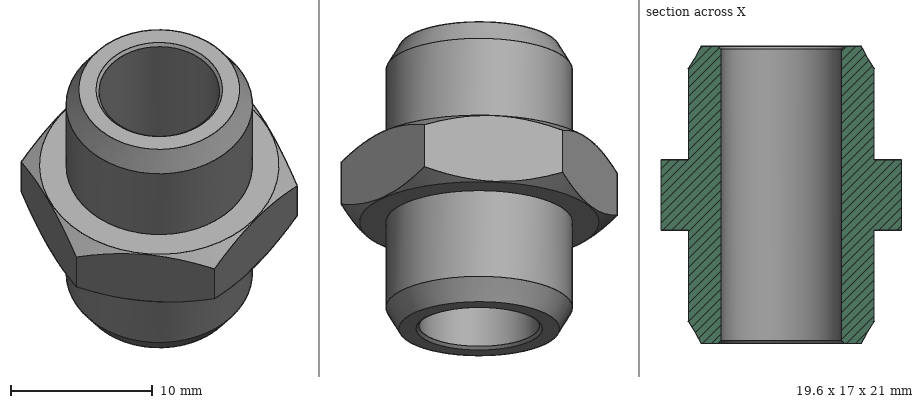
import cadquery as cq
import math

total_length = 21.0
hex_height = 5.0
hex_across_flats = 17.0
hex_face_diameter = 16.9
hex_corner_drop = 0.92
body_diameter = 13.17
end_chamfer_length = 1.58
end_chamfer_angle = 30.0
bore_diameter = 8.5
bore_chamfer = 0.2

half_length = total_length / 2
half_hex = hex_height / 2
body_radius = body_diameter / 2
hex_corner_radius = hex_across_flats / 2 / math.cos(math.radians(30))
bore_radius = bore_diameter / 2


def revolve_profile(points):
    """Revolve a closed (radius, height) outline about the Z axis."""
    return cq.Workplane("XZ").polyline(points).close().revolve(360, (0, 0), (0, 1))


def make_body():
    """Cylindrical body with a steep lead-in cone at both ends."""
    end_radius = body_radius - end_chamfer_length * math.tan(math.radians(end_chamfer_angle))
    shoulder = half_length - end_chamfer_length
    return revolve_profile([
        (0, -half_length),
        (end_radius, -half_length),
        (body_radius, -shoulder),
        (body_radius, shoulder),
        (end_radius, half_length),
        (0, half_length),
    ])


def make_hex():
    """Hexagonal collar with corners on the X axis, turned conically on both faces."""
    prism = (
        cq.Workplane("XY")
        .workplane(offset=-half_hex)
        .polygon(6, 2 * hex_corner_radius)
        .extrude(hex_height)
    )
    face_radius = hex_face_diameter / 2
    corner_height = half_hex - hex_corner_drop
    turned_envelope = revolve_profile([
        (0, -half_hex),
        (face_radius, -half_hex),
        (hex_corner_radius, -corner_height),
        (hex_corner_radius, corner_height),
        (face_radius, half_hex),
        (0, half_hex),
    ])
    return prism.intersect(turned_envelope)


def make_bore():
    """Through bore with a small chamfer at both mouths."""
    mouth_radius = bore_radius + bore_chamfer
    chamfer_start = half_length - bore_chamfer
    return revolve_profile([
        (0, -half_length),
        (mouth_radius, -half_length),
        (bore_radius, -chamfer_start),
        (bore_radius, chamfer_start),
        (mouth_radius, half_length),
        (0, half_length),
    ])


result = make_body().union(make_hex()).cut(make_bore())